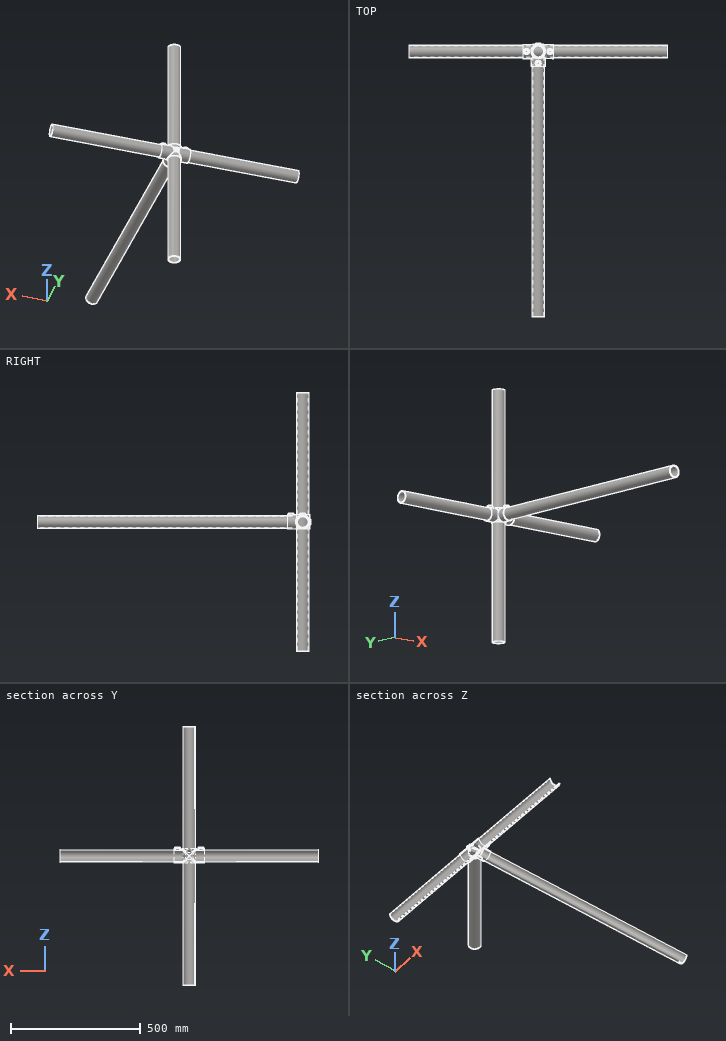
import cadquery as cq

total_depth = 1057
pipe_length = 1000.0
pipe_diameter = 50.0
pipe_wall = 4.0
pipe_radius = pipe_diameter / 2
bore_radius = pipe_radius - pipe_wall

socket_wall = 3.0
socket_radius = pipe_radius + socket_wall
socket_reach = 58.0
sleeve_height = 2 * socket_radius

screw_offset = 45.0
screw_radius = 7.0
boss_wall = 4.0
boss_radius = screw_radius + boss_wall
boss_chamfer = 2.6
boss_height = 35.0
sleeve_boss_height = total_depth - pipe_length - pipe_radius
hex_diameter = 10.0
hex_depth = 5.0

CENTRE = cq.Vector(0, 0, 0)
LEFT = cq.Vector(-1, 0, 0)
RIGHT = cq.Vector(1, 0, 0)
FRONT = cq.Vector(0, -1, 0)
BACK = cq.Vector(0, 1, 0)
UP = cq.Vector(0, 0, 1)

screw_places = [
    (LEFT * screw_offset, UP, boss_height),
    (RIGHT * screw_offset, UP, boss_height),
    (FRONT * screw_offset, UP, boss_height),
    (CENTRE, BACK, sleeve_boss_height),
]


def rod(radius, start, direction, length):
    """Solid cylinder from a start point along a direction."""
    return cq.Workplane(cq.Plane(start, normal=direction)).circle(radius).extrude(length)


def centred_rod(radius, direction, length):
    """Solid cylinder with its middle at the centre of the joint."""
    return rod(radius, direction * (-length / 2), direction, length)


def pipe(start, direction):
    """One plain pipe, open at both ends."""
    outside = rod(pipe_radius, start, direction, pipe_length)
    bore = rod(bore_radius, start, direction, pipe_length)
    return outside.cut(bore)


def half_lapped_pipes():
    """Cross and upright pipes, centred on each other, each notched where their walls meet.

    The upright keeps the shared walls in front of the centre plane, the cross pipe those behind.
    """
    cross = pipe(LEFT * (pipe_length / 2), RIGHT)
    upright = pipe(UP * (-pipe_length / 2), UP)
    shared_walls = cross.intersect(upright)
    half_block = cq.Workplane("XY").box(pipe_diameter, pipe_radius, pipe_diameter)
    front_half = half_block.translate(FRONT * (pipe_radius / 2))
    back_half = half_block.translate(BACK * (pipe_radius / 2))
    notched_cross = cross.cut(shared_walls.intersect(front_half))
    notched_upright = upright.cut(shared_walls.intersect(back_half))
    return notched_cross, notched_upright


def boss(foot, direction, height):
    """Round boss for a set screw, chamfered around its top."""
    body = rod(boss_radius, foot, direction, height)
    top = cq.selectors.DirectionMinMaxSelector(direction)
    return body.faces(top).chamfer(boss_chamfer)


def make_fitting():
    body = centred_rod(socket_radius, RIGHT, 2 * socket_reach)
    body = body.union(centred_rod(socket_radius, UP, sleeve_height))
    body = body.union(rod(socket_radius, CENTRE, FRONT, socket_reach))
    for foot, direction, height in screw_places:
        body = body.union(boss(foot, direction, height))

    body = body.cut(centred_rod(pipe_radius, RIGHT, 2 * socket_reach))
    body = body.cut(centred_rod(pipe_radius, UP, sleeve_height))
    body = body.cut(rod(pipe_radius, CENTRE, FRONT, socket_reach))
    for foot, direction, height in screw_places:
        body = body.cut(rod(screw_radius, foot, direction, height))
    return body


def make_screw(foot, direction, height):
    """Set screw from the pipe surface to the boss top, with a hexagon recess."""
    shank = rod(screw_radius, foot + direction * pipe_radius, direction, height - pipe_radius)
    top = cq.Plane(foot + direction * height, normal=direction)
    recess = cq.Workplane(top).polygon(6, hex_diameter).extrude(-hex_depth)
    return shank.cut(recess)


def single_solid(body):
    """The one solid that a finished body consists of."""
    return body.solids().val()


cross_pipe, upright_pipe = half_lapped_pipes()
front_pipe = pipe(FRONT * pipe_radius, FRONT)
fitting = make_fitting()
screws = [make_screw(*place) for place in screw_places]

bodies = [fitting, cross_pipe, upright_pipe, front_pipe, *screws]
result = cq.Compound.makeCompound([single_solid(body) for body in bodies])